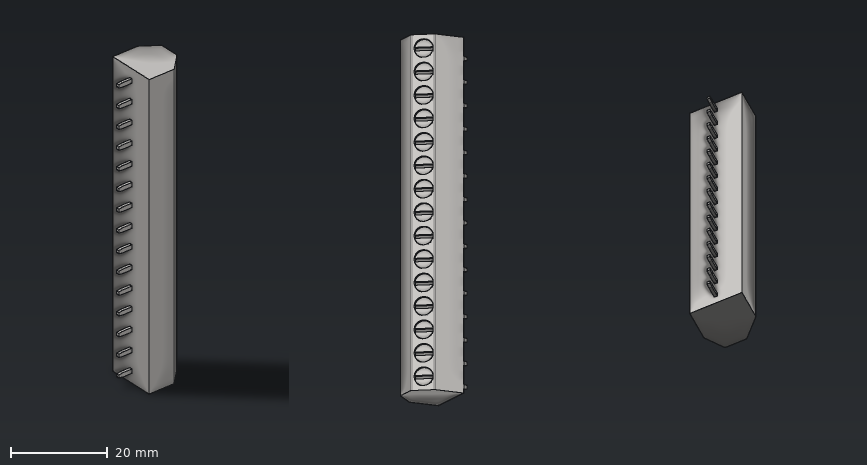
import cadquery as cq

length = 76.0
width = 12.0
body_depth = 10.8
shoulder_drop = 4.1
corner_radius = 0.5
screw_slope_run = 2.9
plain_slope_run = 4.1

pole_count = 15
end_margin = 3.0
pitch = (length - 2 * end_margin) / (pole_count - 1)

pin_length = 3.5
pin_thickness = 0.7
pin_height = 1.1
pin_tip_height = 0.75
pin_taper_length = 1.0

screw_diameter = 3.95
screw_offset = 0.15
screw_recess = 0.7
slot_width = 0.75
slot_depth = 0.8

pole_heights = [end_margin + i * pitch for i in range(pole_count)]
half_width = width / 2
shoulder_y = body_depth - shoulder_drop


def housing():
    outline = [
        (-half_width, 0),
        (half_width, 0),
        (half_width, shoulder_y),
        (half_width - plain_slope_run, body_depth),
        (-half_width + screw_slope_run, body_depth),
        (-half_width, shoulder_y),
    ]
    bar = cq.Workplane("XY").polyline(outline).close().extrude(length)
    slope_edges = bar.edges("|Z").edges("not <Y")
    return slope_edges.fillet(corner_radius)


def pin(z):
    """Flat pin pointing to -Y, with its tip tapered in height."""
    taper_start = pin_taper_length - pin_length
    outline = [
        (0, z - pin_height / 2),
        (taper_start, z - pin_height / 2),
        (-pin_length, z - pin_tip_height / 2),
        (-pin_length, z + pin_tip_height / 2),
        (taper_start, z + pin_height / 2),
        (0, z + pin_height / 2),
    ]
    return cq.Workplane("YZ").polyline(outline).close().extrude(pin_thickness / 2, both=True)


def screw_cut(z):
    """Round recess square to the slope, with a driver slot in its floor."""
    slope_middle = (-half_width + screw_slope_run / 2, body_depth - shoulder_drop / 2, z)
    up_slope = (screw_slope_run, shoulder_drop, 0)
    outward = (-shoulder_drop, screw_slope_run, 0)
    slope = cq.Workplane(cq.Plane(slope_middle, up_slope, outward)).center(-screw_offset, 0)
    recess = slope.circle(screw_diameter / 2).extrude(-screw_recess)
    slot_bottom = screw_recess + slot_depth
    slot = slope.rect(screw_diameter, slot_width).extrude(-slot_bottom)
    bore = slope.circle(screw_diameter / 2).extrude(-slot_bottom)
    return recess.union(slot.intersect(bore))


result = housing()
for height in pole_heights:
    result = result.union(pin(height)).cut(screw_cut(height))